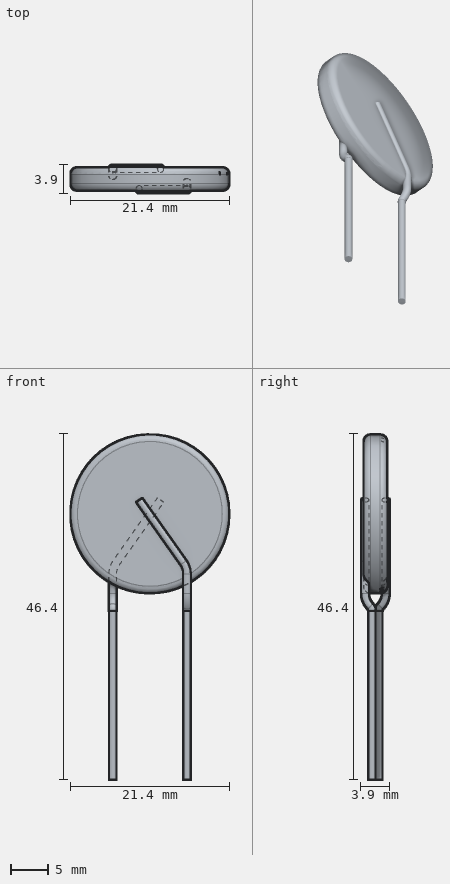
import cadquery as cq
import math

disc_diameter = 21.4
disc_thickness = 3.2
rim_fillet = 0.97
overall_height = 46.4
overall_depth = 3.9

wire_diameter = 1.0
sleeve_diameter = 1.1
lead_spacing = 9.98
wire_offset = 0.45

tip_x = -1.45
tip_z = 1.85
corner_z = -7.25
corner_radius = 2.6
neck_upper_radius = 2.45
sleeve_overrun = 0.15
lead_count = 2

disc_radius = disc_diameter / 2
lead_x = lead_spacing / 2
face_offset = (overall_depth - sleeve_diameter) / 2
wire_end_z = disc_radius - overall_height
neck_top_z = -disc_radius

neck_angle = math.radians(45)
neck_shift = face_offset - wire_offset
neck_lower_radius = neck_shift / (1 - math.cos(neck_angle)) - neck_upper_radius
neck_middle_y = -face_offset + neck_upper_radius * (1 - math.cos(neck_angle))
neck_middle_z = neck_top_z - neck_upper_radius * math.sin(neck_angle)
neck_bottom_z = neck_middle_z - neck_lower_radius * math.sin(neck_angle)

slant_angle = math.atan2(lead_x - tip_x, tip_z - corner_z)
slant_direction = cq.Vector(math.sin(slant_angle), 0, -math.cos(slant_angle))
corner_tangent = corner_radius * math.tan(slant_angle / 2)


def lead_path(end_z):
    """Edges of the lead centre line from its inner tip, through the neck and straight down to end_z."""
    down = cq.Vector(0, 0, -1)
    inward_down = cq.Vector(0, math.sin(neck_angle), -math.cos(neck_angle))
    tip = cq.Vector(tip_x, -face_offset, tip_z)
    corner = cq.Vector(lead_x, -face_offset, corner_z)
    bend_start = corner - slant_direction * corner_tangent
    bend_end = corner + down * corner_tangent
    neck_top = cq.Vector(lead_x, -face_offset, neck_top_z)
    neck_middle = cq.Vector(lead_x, neck_middle_y, neck_middle_z)
    neck_bottom = cq.Vector(lead_x, -wire_offset, neck_bottom_z)
    lower_end = cq.Vector(lead_x, -wire_offset, end_z)
    return [
        cq.Edge.makeLine(tip, bend_start),
        cq.Edge.makeTangentArc(bend_start, slant_direction, bend_end),
        cq.Edge.makeLine(bend_end, neck_top),
        cq.Edge.makeTangentArc(neck_top, down, neck_middle),
        cq.Edge.makeTangentArc(neck_middle, inward_down, neck_bottom),
        cq.Edge.makeLine(neck_bottom, lower_end),
    ]


def swept_rod(edges, diameter):
    """Round rod that follows the given centre line."""
    path = cq.Workplane(cq.Wire.assembleEdges(edges))
    start = cq.Plane(origin=edges[0].startPoint(), normal=slant_direction)
    return cq.Workplane(start).circle(diameter / 2).sweep(path)


def turned(body, index):
    """Copy of a body of lead 0, turned about Z to the place of the given lead."""
    return body.rotate((0, 0, 0), (0, 0, 1), index * 360 / lead_count)


def make_wire(index):
    """Bare wire from its tip in the coating to its free end."""
    return turned(swept_rod(lead_path(wire_end_z), wire_diameter), index)


def make_sleeve(index):
    """Solid rod of coating around the inner part of a wire."""
    return turned(swept_rod(lead_path(neck_bottom_z - sleeve_overrun), sleeve_diameter), index)


def make_coating(wires):
    """Rounded disc with a sleeve down each wire, hollow where the wires run."""
    rear_face = cq.Workplane("XZ", origin=(0, disc_thickness / 2, 0))
    coating = rear_face.circle(disc_radius).extrude(disc_thickness)
    coating = coating.edges().fillet(rim_fillet)
    for index in range(lead_count):
        coating = coating.union(make_sleeve(index))
    for wire in wires:
        coating = coating.cut(wire)
    return coating


wires = [make_wire(index) for index in range(lead_count)]
coating = make_coating(wires)

result = cq.Compound.makeCompound([coating.solids().val(), *[wire.val() for wire in wires]])